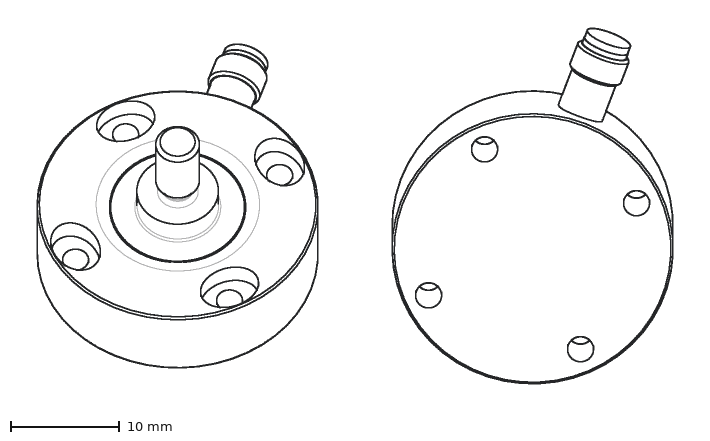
import cadquery as cq
import math

body_dia = 25.8
body_height = 8.0
body_chamfer = 0.2

recess_top_dia = 15.02
recess_floor_dia = 12.5
recess_depth = 0.4
recess_floor_z = body_height - recess_depth

gap_width = 0.1
gap_depth = 0.1

boss_dia = 7.5
boss_top_z = 10.08
boss_fillet = 0.2

stud_dia = 4.0
stud_top_z = 18.0
neck_dia = 2.9
root_fillet = 0.43
neck_length = 0.15
neck_blend_radius = 0.5
neck_taper = math.radians(30)
tip_dia = 3.2
tip_rise = 0.15

hole_count = 4
hole_dia = 2.4
hole_circle_radius = 10.5
counterbore_width = 4.25
counterbore_length = 5.57
counterbore_depth = 2.1

total_length = 33.15
connector_end_y = total_length - body_dia / 2
connector_z = body_height / 2
tube_dia = 4.3
plug_dia = 4.25
plug_length = 0.7
collar_dia = 5.0
collar_chamfer = 0.25
collar_offset = 1.2
collar_length = 2.62
wall_overlap = 1.0


def make_body():
    """Chamfered disc with the conical recess and the gap around its floor."""
    disc = cq.Workplane("XY").circle(body_dia / 2).extrude(body_height)
    disc = disc.edges().chamfer(body_chamfer)
    recess = (
        cq.Workplane("XY", origin=(0, 0, recess_floor_z))
        .circle(recess_floor_dia / 2)
        .workplane(offset=recess_depth)
        .circle(recess_top_dia / 2)
        .loft()
    )
    gap = (
        cq.Workplane("XY", origin=(0, 0, recess_floor_z))
        .circle(recess_floor_dia / 2)
        .circle(recess_floor_dia / 2 - gap_width)
        .extrude(-gap_depth)
    )
    return disc.cut(recess).cut(gap)


def make_boss_and_stud():
    """Boss and stud as one profile revolved about Z."""
    diagonal = math.sqrt(0.5)
    boss_r = boss_dia / 2
    neck_r = neck_dia / 2
    stud_r = stud_dia / 2
    tip_r = tip_dia / 2

    def blend_point(angle):
        """Point on the arc that leads from the straight neck into the taper."""
        r = neck_r + neck_blend_radius * (1 - math.cos(angle))
        return (r, neck_top_z + neck_blend_radius * math.sin(angle))

    def fillet_middle(r, z, radius):
        """Middle of a concave fillet in the corner at r, z."""
        inset = radius * (1 - diagonal)
        return (r + inset, z + inset)

    neck_top_z = boss_top_z + root_fillet + neck_length
    taper_start = blend_point(neck_taper)
    thread_start_z = taper_start[1] + (stud_r - taper_start[0]) / math.tan(neck_taper)
    tip_edge_z = stud_top_z - tip_rise
    profile = (
        cq.Workplane("XZ")
        .moveTo(0, recess_floor_z - gap_depth)
        .lineTo(boss_r + boss_fillet, recess_floor_z - gap_depth)
        .lineTo(boss_r + boss_fillet, recess_floor_z)
        .threePointArc(
            fillet_middle(boss_r, recess_floor_z, boss_fillet),
            (boss_r, recess_floor_z + boss_fillet),
        )
        .lineTo(boss_r, boss_top_z)
        .lineTo(neck_r + root_fillet, boss_top_z)
        .threePointArc(
            fillet_middle(neck_r, boss_top_z, root_fillet),
            (neck_r, boss_top_z + root_fillet),
        )
        .lineTo(neck_r, neck_top_z)
        .threePointArc(blend_point(neck_taper / 2), taper_start)
        .lineTo(stud_r, thread_start_z)
        .lineTo(stud_r, tip_edge_z - (stud_r - tip_r))
        .lineTo(tip_r, tip_edge_z)
        .lineTo(0, stud_top_z)
        .close()
    )
    return profile.revolve(360, (0, 0, 0), (0, 1, 0))


def make_hole_cutter(angle):
    """Through hole and its tangentially stretched counterbore, at an angle about Z."""
    hole = cq.Workplane("XY").center(hole_circle_radius, 0).circle(hole_dia / 2).extrude(body_height)
    counterbore = (
        cq.Workplane("XY", origin=(hole_circle_radius, 0, body_height))
        .ellipse(counterbore_width / 2, counterbore_length / 2)
        .extrude(-counterbore_depth)
    )
    return hole.union(counterbore).rotate((0, 0, 0), (0, 0, 1), angle)


def make_connector():
    """Tube, collar and plug along +Y, starting inside the body wall."""

    def rod(diameter, end_y, length):
        """Cylinder that runs back from end_y toward the body."""
        return cq.Workplane("XZ", origin=(0, end_y, connector_z)).circle(diameter / 2).extrude(length)

    tube_end_y = connector_end_y - plug_length
    tube_start_y = body_dia / 2 - wall_overlap
    plug = rod(plug_dia, connector_end_y, plug_length)
    tube = rod(tube_dia, tube_end_y, tube_end_y - tube_start_y)
    collar = rod(collar_dia, connector_end_y - collar_offset, collar_length)
    collar = collar.edges().chamfer(collar_chamfer)
    return tube.union(plug).union(collar)


result = make_body().union(make_boss_and_stud()).union(make_connector())
for index in range(hole_count):
    result = result.cut(make_hole_cutter(45 + index * 360 / hole_count))